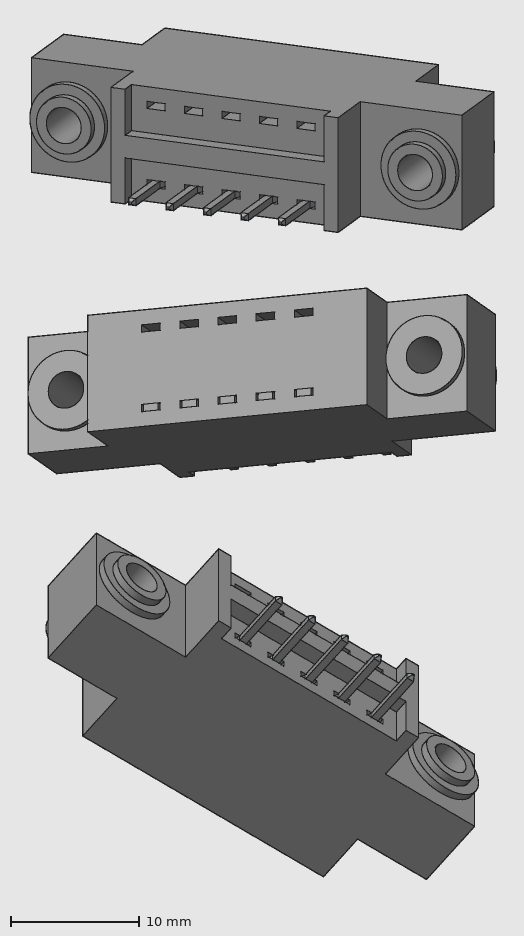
import cadquery as cq

LENGTH = 36.45
HEIGHT = 9.4
DEPTH = 15.27
BACK_WIDTH = 23.2
FRONT_WIDTH = 19.25
WING_FRONT_Y = 4.37
WING_BACK_Y = 10.75

RECESS_WIDTH = 16.85
RECESS_DEPTH = 1.28
RIB_HEIGHT = 1.85

CONTACT_COUNT = 5
CONTACT_PITCH = 3.17
SLOT_WIDTH = 1.53
SLOT_HEIGHT = 0.6
SLOT_ROW_Z = 3.2

BLADE_WIDTH = 1.2
TAIL_WIDTH = 0.62
TAIL_LENGTH = 3.8
TIP_LENGTH = 0.35
TIP_INSET = 0.2
SHOULDER_INSET = 0.07
SHOULDER_LENGTH = 0.7

BUSHING_X = 14.87
FLANGE_DIAMETER = 6.35
COLLAR_DIAMETER = 4.63
BORE_DIAMETER = 2.95
BACK_FLANGE_THICKNESS = 0.55
FRONT_FLANGE_GAP = 0.15
FRONT_FLANGE_THICKNESS = 0.62
COLLAR_THICKNESS = 0.65

contact_positions = [
    (index - (CONTACT_COUNT - 1) / 2) * CONTACT_PITCH for index in range(CONTACT_COUNT)
]


def box(width, height, y_start, y_end, x=0, z=0):
    """Box centred on (x, z) that runs from y_start to y_end."""
    return cq.Workplane("XY").box(width, y_end - y_start, height).translate((x, (y_start + y_end) / 2, z))


def cylinder(diameter, y_start, y_end, x):
    """Cylinder along Y, centred on x and Z = 0, from y_start to y_end."""
    return (
        cq.Workplane("XZ", origin=(x, y_start, 0))
        .circle(diameter / 2)
        .extrude(-(y_end - y_start))
    )


def make_housing():
    body = (
        box(LENGTH, HEIGHT, WING_FRONT_Y, WING_BACK_Y)
        .union(box(FRONT_WIDTH, HEIGHT, 0, WING_BACK_Y))
        .union(box(BACK_WIDTH, HEIGHT, WING_FRONT_Y, DEPTH))
    )

    recess_height = (HEIGHT - RIB_HEIGHT) / 2
    recess_z = (RIB_HEIGHT + recess_height) / 2
    for side in (-1, 1):
        body = body.cut(box(RECESS_WIDTH, recess_height, 0, RECESS_DEPTH, z=side * recess_z))
        for x in contact_positions:
            body = body.cut(box(SLOT_WIDTH, SLOT_HEIGHT, RECESS_DEPTH, DEPTH, x, side * SLOT_ROW_Z))
        body = body.cut(cylinder(COLLAR_DIAMETER, WING_FRONT_Y, WING_BACK_Y, side * BUSHING_X))
    return body


def make_bushing(x):
    """Tube that fills the wing hole: back flange on the wing, front flange just clear of it, then a collar."""
    front_flange_back_y = WING_FRONT_Y - FRONT_FLANGE_GAP
    flange_front_y = front_flange_back_y - FRONT_FLANGE_THICKNESS
    collar_front_y = flange_front_y - COLLAR_THICKNESS
    flange_back_y = WING_BACK_Y + BACK_FLANGE_THICKNESS
    return (
        cylinder(COLLAR_DIAMETER, collar_front_y, flange_back_y, x)
        .union(cylinder(FLANGE_DIAMETER, flange_front_y, front_flange_back_y, x))
        .union(cylinder(FLANGE_DIAMETER, WING_BACK_Y, flange_back_y, x))
        .cut(cylinder(BORE_DIAMETER, collar_front_y, flange_back_y, x))
    )


def make_contact(x):
    """Contact in the lower slot row; the blade fills the slot height and reaches the back face."""
    half_tail = TAIL_WIDTH / 2
    half_blade = BLADE_WIDTH / 2
    shoulder_y = RECESS_DEPTH + SHOULDER_INSET
    tip_base_y = TIP_LENGTH - TAIL_LENGTH

    body = (
        cq.Workplane("XY", origin=(x, 0, -SLOT_ROW_Z - SLOT_HEIGHT / 2))
        .moveTo(-half_tail, tip_base_y)
        .lineTo(-half_tail, shoulder_y)
        .lineTo(-half_blade, shoulder_y + SHOULDER_LENGTH)
        .lineTo(-half_blade, DEPTH)
        .lineTo(half_blade, DEPTH)
        .lineTo(half_blade, shoulder_y + SHOULDER_LENGTH)
        .lineTo(half_tail, shoulder_y)
        .lineTo(half_tail, tip_base_y)
        .close()
        .extrude(SLOT_HEIGHT)
    )
    tip = (
        cq.Workplane("XZ", origin=(x, tip_base_y, -SLOT_ROW_Z))
        .rect(TAIL_WIDTH, SLOT_HEIGHT)
        .workplane(offset=TIP_LENGTH)
        .rect(TAIL_WIDTH - 2 * TIP_INSET, SLOT_HEIGHT - 2 * TIP_INSET)
        .loft(combine=True)
    )
    return body.union(tip)


housing = make_housing()
bushings = [make_bushing(side * BUSHING_X) for side in (-1, 1)]
contacts = [make_contact(x) for x in contact_positions]

result = cq.Compound.makeCompound(
    [
        housing.val(),
        *[bushing.val() for bushing in bushings],
        *[contact.val() for contact in contacts],
    ]
)